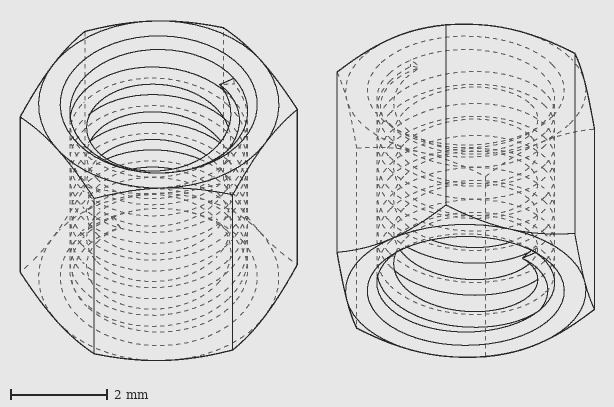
import cadquery as cq
import math

hexagon_sides = 6
height = 5.0
across_flats = 5.0
across_corners = across_flats / math.cos(math.pi / hexagon_sides)
corner_drop = 0.25

bore_radius = 1.85
lead_in = 0.2

crest_radius = 1.5
pitch = 0.8
ridge_base = 0.32
wall_overlap = 0.1
end_angle = 90.0

thread_bottom = lead_in
thread_top = height - lead_in
thread_length = thread_top - thread_bottom
buried_radius = bore_radius + wall_overlap


def make_blank():
    """Hexagonal prism with its corners cut by a cone at both ends."""
    prism = cq.Workplane("XY").polygon(hexagon_sides, across_corners).extrude(height)
    face_radius = across_flats / 2
    corner_radius = across_corners / 2
    envelope = (
        cq.Workplane("XZ")
        .moveTo(0, 0)
        .lineTo(face_radius, 0)
        .lineTo(corner_radius, corner_drop)
        .lineTo(corner_radius, height - corner_drop)
        .lineTo(face_radius, height)
        .lineTo(0, height)
        .close()
        .revolve(360, (0, 0, 0), (0, 1, 0))
    )
    return prism.intersect(envelope)


def make_bore():
    """Through bore that flares out at both ends."""
    mouth_radius = bore_radius + lead_in
    return (
        cq.Workplane("YZ")
        .moveTo(0, 0)
        .lineTo(mouth_radius, 0)
        .lineTo(bore_radius, thread_bottom)
        .lineTo(bore_radius, thread_top)
        .lineTo(mouth_radius, height)
        .lineTo(0, height)
        .close()
        .revolve(360, (0, 0, 0), (0, 1, 0))
    )


def make_thread_ridge():
    """Right-hand triangular ridge, trimmed flat to the length of the plain bore."""
    half_base = ridge_base / 2
    buried_half_base = half_base * (buried_radius - crest_radius) / (bore_radius - crest_radius)
    helix = cq.Wire.makeHelix(pitch, thread_length, crest_radius)
    ridge = (
        cq.Workplane("XZ")
        .moveTo(crest_radius, 0)
        .lineTo(buried_radius, buried_half_base)
        .lineTo(buried_radius, -buried_half_base)
        .close()
        .sweep(cq.Workplane(helix), isFrenet=True)
    )
    swept_angle = 360 * thread_length / pitch
    ridge = ridge.rotate((0, 0, 0), (0, 0, 1), end_angle - swept_angle)
    ridge = ridge.translate((0, 0, thread_bottom))

    trim = (
        cq.Workplane("XY", origin=(0, 0, thread_bottom))
        .circle(buried_radius + wall_overlap)
        .extrude(thread_length)
    )
    return ridge.intersect(trim)


result = make_blank().cut(make_bore()).union(make_thread_ridge()).solids()